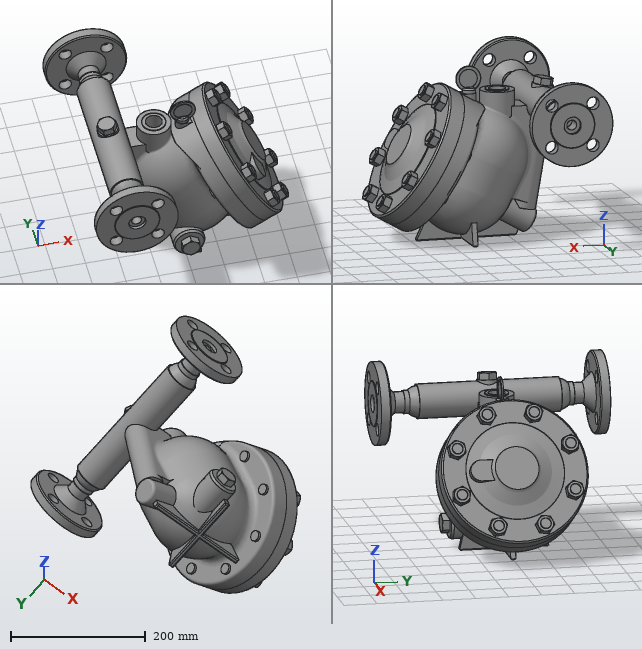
import cadquery as cq
import math

PIPE_HEIGHT = 200.0
FACE_TO_FACE = 350.0

PIPE_RADIUS = 26.0
PIPE_HALF_LENGTH = 108.0
REDUCER_BIG_RADIUS = 24.0
REDUCER_SMALL_RADIUS = 17.5
REDUCER_BULGE = (22.4, 113.6)
REDUCER_END = 121.3
WELD_END = 128.8
NECK_RADIUS = 16.0
NECK_END = 143.3
HUB_RADIUS = 30.5
PIPE_FLANGE_BACK = 158.5
PIPE_FLANGE_RADIUS = 62.5
PIPE_FLANGE_CHAMFER = 2.0
RAISED_FACE_RADIUS = 34.5
RAISED_FACE_HEIGHT = 1.0
PIPE_BOLT_CIRCLE = 90.0
PIPE_BOLT_HOLE = 19.0
PIPE_BOLT_COUNT = 4
PORT_RECESS_DIAMETER = 26.0
PORT_RECESS_DEPTH = 5.0
PORT_DIAMETER = 15.0
PORT_DEPTH = 30.0

RISER_TILT = 9.7
RISER_RADIUS = 20.0
RISER_LENGTH = 160.0
SLEEVE_AXIS = -163.0
SLEEVE_END = -77.0
SLEEVE_LENGTH = 90.0
SLEEVE_ROUND = 4.5
WEB_FILLET = 7.5
WEB_EDGE_X = 30.0

CHAMBER_TILT = 27.0
CHAMBER_RADIUS = 75.0
LOWER_DOME_X = 118.2
LOWER_DOME_DROP = 118.0
DOME_SPACING = 49.5

JOINT_TILT = 30.0
JOINT_AXIS = -154.0
PARTING = 120.0
FLANGE_RADIUS = 111.0
BODY_FLANGE_BACK = 92.0
BODY_FLANGE_ROUND = 5.0
MOUTH_FILLET = 11.0
COVER_FACE = 146.0
COVER_CHAMFER = 2.5
LUG_BACK = 80.0
LUG_HALF_WIDTH_BACK = 26.0
LUG_HALF_WIDTH_FRONT = 75.0
STUD_COUNT = 8
STUD_CIRCLE = 186.0
STUD_DIAMETER = 16.0
STUD_BACK = 88.0
STUD_END = 160.2
NUT_ACROSS_FLATS = 24.0
NUT_END = 158.0
NUT_CHAMFER = (1.0, 1.9)

COVER_DOME = [(74.5, 147.5), (67.0, 149.0), (55.0, 151.5), (37.0, 160.5)]
COVER_CAP_RADIUS = 33.0
COVER_CAP_FACE = 163.5
COVER_ARM_RADIUS = 16.0
COVER_ARM_REACH = 69.5
COVER_ARM_FACE = 160.0

DRAIN_X = 102.2
DRAIN_HEIGHT = 38.1
DRAIN_BOSS_RADIUS = 24.0
DRAIN_BOSS_END = 80.5
DRAIN_CHAMFER_LENGTH = 4.0
DRAIN_CHAMFER_RADIAL = 2.0
PLUG_ACROSS_FLATS = 26.0
DRAIN_PLUG_END = 92.0

TOP_PLUG_SEAT_RADIUS = 16.0
TOP_PLUG_SEAT = 27.5
TOP_PLUG_END = 38.0
PLUG_CHAMFER = (1.0, 2.0)

BOSS_X = 66.0
BOSS_RADIUS = 26.0
BOSS_TOP = 223.5
BOSS_SPIGOT_RADIUS = 18.0
BOSS_SPIGOT_TOP = 225.0
BOSS_BORE_DIAMETER = 25.0
BOSS_BORE_DEPTH = 40.0
BOSS_ROOT = 150.0
BOSS_FILLET = 3.0

KNOB_X = 109.6
PAD_WIDTH = 21.0
PAD_TOP = 220.5
PAD_END_X = 126.0
PAD_ROOT = 185.0
CAP_DIAMETER = 20.0
CAP_TOP = 228.0
CAP_CHAMFER = 2.5
KNOB_HEIGHT = 241.0
KNOB_RADIUS = 19.0
KNOB_THICKNESS = 2.5
KNOB_Y = -3.4
KNOB_DISH_RADIUS = 14.0
KNOB_DISH_DEPTH = 1.0

RIB_THICKNESS = 8.0
RIB_CHAMFER = 2.0
LONG_RIB = [(38.0, 0), (192.5, 0), (177.0, 33.0), (118.0, 80.0), (34.5, 9.0)]
CROSS_RIB_X = 119.0
CROSS_RIB_HALF_WIDTH = 68.0
CROSS_RIB_TOP_HALF_WIDTH = 60.0
CROSS_RIB_HEIGHT = 35.0

TOLERANCE = 0.01


def direction(tilt):
    """Unit vector in the XZ plane, tilted up from +X."""
    angle = math.radians(tilt)
    return cq.Vector(math.cos(angle), 0, math.sin(angle))


PIPE_CENTRE = cq.Vector(0, 0, PIPE_HEIGHT)
JOINT_ALONG = direction(JOINT_TILT)
JOINT_ACROSS = direction(JOINT_TILT + 90)
RISER_DOWN = direction(RISER_TILT - 90)


def tilted_plane(along, across=JOINT_AXIS):
    """Work plane square to the joint axis; its local x is +Y and its local y points up and back."""
    origin = PIPE_CENTRE + JOINT_ALONG * along + JOINT_ACROSS * across
    return cq.Workplane(cq.Plane(origin, (0, 1, 0), JOINT_ALONG))


def joint_disc(radius, start, end):
    return tilted_plane(start).circle(radius).extrude(end - start)


def hexagon_diameter(across_flats):
    return across_flats / math.cos(math.pi / 6)


def bolt_points(circle_diameter, count):
    """Points on a circle, placed half a step off the axes."""
    angles = [math.radians((i + 0.5) * 360 / count) for i in range(count)]
    radius = circle_diameter / 2
    return [(radius * math.cos(a), radius * math.sin(a)) for a in angles]


def hexagon_head(frame, across_flats, length, chamfer_length, chamfer_radial):
    """Hexagon along the frame's normal with its outer corners turned off."""
    corner_diameter = hexagon_diameter(across_flats)
    prism = cq.Workplane(frame).polygon(6, corner_diameter).extrude(length)
    turned = cq.Workplane(frame).circle(corner_diameter / 2).extrude(length)
    outer_end = cq.selectors.DirectionMinMaxSelector(frame.zDir)
    turned = turned.faces(outer_end).edges().chamfer(chamfer_length, chamfer_radial)
    return prism.intersect(turned)


def pipe_end():
    """Reducer, welding neck and flange on the -Y side."""
    face = FACE_TO_FACE / 2
    rim = face - RAISED_FACE_HEIGHT
    axis_frame = cq.Plane(PIPE_CENTRE, (1, 0, 0), (0, 0, -1))
    run = (
        cq.Workplane(axis_frame)
        .moveTo(0, PIPE_HALF_LENGTH)
        .lineTo(REDUCER_BIG_RADIUS, PIPE_HALF_LENGTH)
        .threePointArc(REDUCER_BULGE, (REDUCER_SMALL_RADIUS, REDUCER_END))
        .lineTo(REDUCER_SMALL_RADIUS, WELD_END)
        .lineTo(NECK_RADIUS, WELD_END)
        .lineTo(NECK_RADIUS, NECK_END)
        .lineTo(HUB_RADIUS, PIPE_FLANGE_BACK)
        .lineTo(PIPE_FLANGE_RADIUS - PIPE_FLANGE_CHAMFER, PIPE_FLANGE_BACK)
        .lineTo(PIPE_FLANGE_RADIUS, PIPE_FLANGE_BACK + PIPE_FLANGE_CHAMFER)
        .lineTo(PIPE_FLANGE_RADIUS, rim)
        .lineTo(RAISED_FACE_RADIUS, rim)
        .lineTo(RAISED_FACE_RADIUS - RAISED_FACE_HEIGHT, face)
        .lineTo(0, face)
        .close()
        .revolve(360, (0, 0), (0, 1))
    )
    face_frame = cq.Plane(PIPE_CENTRE + cq.Vector(0, -face, 0), (1, 0, 0), (0, -1, 0))
    face_plane = cq.Workplane(face_frame)
    bolt_holes = (
        face_plane.pushPoints(bolt_points(PIPE_BOLT_CIRCLE, PIPE_BOLT_COUNT))
        .circle(PIPE_BOLT_HOLE / 2)
        .extrude(PIPE_FLANGE_BACK - face)
    )
    recess = face_plane.circle(PORT_RECESS_DIAMETER / 2).extrude(-PORT_RECESS_DEPTH)
    port = face_plane.circle(PORT_DIAMETER / 2).extrude(-PORT_DEPTH)
    return run.cut(bolt_holes).cut(recess).cut(port)


def pipe_run():
    pipe = cq.Workplane("XZ", PIPE_CENTRE.toTuple()).circle(PIPE_RADIUS).extrude(PIPE_HALF_LENGTH, both=True)
    end = pipe_end()
    return pipe.union(end).union(end.mirror("XZ"))


def riser():
    frame = cq.Plane(PIPE_CENTRE, (0, 1, 0), RISER_DOWN)
    return cq.Workplane(frame).circle(RISER_RADIUS).extrude(RISER_LENGTH)


def sleeve():
    tube = tilted_plane(SLEEVE_END, SLEEVE_AXIS).circle(RISER_RADIUS).extrude(SLEEVE_LENGTH)
    near_end = cq.selectors.NearestToPointSelector(
        (PIPE_CENTRE + JOINT_ALONG * SLEEVE_END + JOINT_ACROSS * SLEEVE_AXIS).toTuple()
    )
    return tube.faces(near_end).edges().fillet(SLEEVE_ROUND)


def web():
    """Flat web that fills the space between pipe, riser, sleeve, chamber and boss."""
    foot = PIPE_CENTRE + RISER_DOWN * (RISER_LENGTH - RISER_RADIUS / 2)
    upper_dome, lower_dome = dome_centres()
    outline = [
        (0, PIPE_HEIGHT),
        (BOSS_X, PIPE_HEIGHT),
        (upper_dome.x, upper_dome.z),
        (lower_dome.x, lower_dome.z),
        (foot.x, foot.z),
    ]
    return cq.Workplane("XZ").polyline(outline).close().extrude(RISER_RADIUS, both=True)


def is_web_edge(edge):
    """True where a flat side of the web meets the chamber."""
    centre = edge.Center()
    on_side = abs(abs(centre.y) - RISER_RADIUS) < TOLERANCE
    on_outline = centre.z > BOSS_ROOT or min(edge.startPoint().x, edge.endPoint().x) < WEB_EDGE_X
    return on_side and not on_outline


def dome_centres():
    lower = cq.Vector(LOWER_DOME_X, 0, PIPE_HEIGHT - LOWER_DOME_DROP)
    return lower + direction(CHAMBER_TILT + 90) * DOME_SPACING, lower


def chamber():
    """Two domes joined by a straight stretch."""
    upper, lower = dome_centres()
    across = direction(CHAMBER_TILT + 90)
    domes = [cq.Workplane("XY").sphere(CHAMBER_RADIUS).translate(c) for c in (upper, lower)]
    barrel = (
        cq.Workplane(cq.Plane(lower, (0, 1, 0), across)).circle(CHAMBER_RADIUS).extrude(DOME_SPACING)
    )
    return domes[0].union(domes[1]).union(barrel)


def joint_flange():
    """Body half of the bolted joint, rounded at its back."""
    flange = joint_disc(FLANGE_RADIUS, BODY_FLANGE_BACK, PARTING)
    back = cq.selectors.DirectionMinMaxSelector(-JOINT_ALONG)
    return flange.faces(back).edges().fillet(BODY_FLANGE_ROUND)


def joint_lug():
    """Lug that widens towards the flange along its top."""
    front = BODY_FLANGE_BACK + BODY_FLANGE_ROUND
    frame = cq.Plane(PIPE_CENTRE + JOINT_ACROSS * JOINT_AXIS, (0, 1, 0), JOINT_ACROSS)
    outline = [
        (-LUG_HALF_WIDTH_BACK, -LUG_BACK),
        (LUG_HALF_WIDTH_BACK, -LUG_BACK),
        (LUG_HALF_WIDTH_FRONT, -front),
        (-LUG_HALF_WIDTH_FRONT, -front),
    ]
    wedge = cq.Workplane(frame).polyline(outline).close().extrude(FLANGE_RADIUS)
    return wedge.intersect(joint_disc(FLANGE_RADIUS, LUG_BACK, PARTING))


def is_mouth_edge(edge):
    """True where the chamber meets the flat back of the joint flange."""
    start, middle = (edge.positionAt(t) - PIPE_CENTRE for t in (0, 0.5))
    flat = all(abs(p.dot(JOINT_ALONG) - BODY_FLANGE_BACK) < TOLERANCE for p in (start, middle))
    from_axis = (middle - JOINT_ACROSS * JOINT_AXIS).cross(JOINT_ALONG).Length
    return flat and from_axis < FLANGE_RADIUS - BODY_FLANGE_ROUND - 1


def chamber_with_flange():
    shell = chamber().union(joint_flange())
    mouth = [edge for edge in shell.edges().vals() if is_mouth_edge(edge)]
    shell = shell.newObject(mouth).fillet(MOUTH_FILLET)
    return shell.union(joint_lug())


def drain():
    """Boss on the -Y side with its hexagon plug."""
    frame = cq.Plane((DRAIN_X, 0, DRAIN_HEIGHT), (0, 0, 1), (0, -1, 0))
    boss = (
        cq.Workplane(frame)
        .circle(DRAIN_BOSS_RADIUS)
        .extrude(DRAIN_BOSS_END)
        .faces("<Y")
        .chamfer(DRAIN_CHAMFER_LENGTH, DRAIN_CHAMFER_RADIAL)
    )
    return boss.union(hexagon_head(frame, PLUG_ACROSS_FLATS, DRAIN_PLUG_END, *PLUG_CHAMFER))


def top_plug():
    frame = cq.Plane(PIPE_CENTRE, (1, 0, 0), -RISER_DOWN)
    seat = cq.Workplane(frame).circle(TOP_PLUG_SEAT_RADIUS).extrude(TOP_PLUG_SEAT)
    return seat.union(hexagon_head(frame, PLUG_ACROSS_FLATS, TOP_PLUG_END, *PLUG_CHAMFER))


def upright_boss():
    def post(radius, top):
        return cq.Workplane("XY", (BOSS_X, 0, BOSS_ROOT)).circle(radius).extrude(top - BOSS_ROOT)

    return post(BOSS_RADIUS, BOSS_TOP).union(post(BOSS_SPIGOT_RADIUS, BOSS_SPIGOT_TOP))


def is_boss_edge(edge):
    """True where the upright boss leaves the chamber."""
    middle = edge.positionAt(0.5)
    from_axis = math.hypot(middle.x - BOSS_X, middle.y)
    on_wall = abs(from_axis - BOSS_RADIUS) < TOLERANCE
    return on_wall and middle.z < BOSS_TOP - 1 and edge.geomType() != "LINE"


def boss_on_dome():
    """The upright boss with a fillet where it leaves the upper dome."""
    upper_dome = dome_centres()[0]
    dome = cq.Workplane("XY").sphere(CHAMBER_RADIUS).translate(upper_dome).union(upright_boss())
    root = [edge for edge in dome.edges().vals() if is_boss_edge(edge)]
    return dome.newObject(root).fillet(BOSS_FILLET)


def boss_bore():
    return (
        cq.Workplane("XY", (BOSS_X, 0, BOSS_SPIGOT_TOP))
        .circle(BOSS_BORE_DIAMETER / 2)
        .extrude(-BOSS_BORE_DEPTH)
    )


def knob():
    """Dished thumb disc on a round cap, standing on a pad at the top of the joint flange."""
    foot = cq.Workplane("XY", (KNOB_X, 0, PAD_ROOT))
    pad_height = PAD_TOP - PAD_ROOT
    pad_length = PAD_END_X - KNOB_X
    pad = foot.circle(PAD_WIDTH / 2).extrude(pad_height)
    pad = pad.union(foot.center(pad_length / 2, 0).rect(pad_length, PAD_WIDTH).extrude(pad_height))
    foot = cq.Workplane("XY", (KNOB_X, 0, PAD_ROOT))
    cap = foot.circle(CAP_DIAMETER / 2).extrude(CAP_TOP - PAD_ROOT).faces(">Z").chamfer(CAP_CHAMFER)
    front = KNOB_Y - KNOB_THICKNESS / 2
    disc_plane = cq.Workplane("XZ", (KNOB_X, front, KNOB_HEIGHT))
    disc = disc_plane.circle(KNOB_RADIUS).extrude(-KNOB_THICKNESS)
    dish = disc_plane.circle(KNOB_DISH_RADIUS).extrude(-KNOB_DISH_DEPTH)
    return pad.union(disc.cut(dish)).union(cap)


def base_ribs():
    """Two upright plates that cross under the chamber."""
    long_rib = cq.Workplane("XZ").polyline(LONG_RIB).close().extrude(RIB_THICKNESS / 2, both=True)
    cross_outline = [
        (-CROSS_RIB_HALF_WIDTH, 0),
        (CROSS_RIB_HALF_WIDTH, 0),
        (CROSS_RIB_TOP_HALF_WIDTH, CROSS_RIB_HEIGHT),
        (-CROSS_RIB_TOP_HALF_WIDTH, CROSS_RIB_HEIGHT),
    ]
    cross_rib = (
        cq.Workplane("YZ", (CROSS_RIB_X, 0, 0))
        .polyline(cross_outline)
        .close()
        .extrude(RIB_THICKNESS / 2, both=True)
    )
    return long_rib.union(cross_rib).faces("<Z").edges().chamfer(RIB_CHAMFER)


def studs():
    """Studs that pass through the cover and the joint flange of the housing."""
    return (
        tilted_plane(STUD_BACK)
        .pushPoints(bolt_points(STUD_CIRCLE, STUD_COUNT))
        .circle(STUD_DIAMETER / 2)
        .extrude(STUD_END - STUD_BACK)
    )


def nuts():
    """One nut per stud, each turned with its place around the joint axis."""
    nut = hexagon_head(
        tilted_plane(COVER_FACE).plane, NUT_ACROSS_FLATS, NUT_END - COVER_FACE, *NUT_CHAMFER
    )
    first = nut.translate(cq.Vector(0, STUD_CIRCLE / 2, 0))
    axis_start = PIPE_CENTRE + JOINT_ACROSS * JOINT_AXIS
    axis_end = axis_start + JOINT_ALONG
    step = 360 / STUD_COUNT
    return [
        first.rotate(axis_start.toTuple(), axis_end.toTuple(), (i + 0.5) * step)
        for i in range(STUD_COUNT)
    ]


def cover_centre():
    """Stepped dome with a round cap and an arm that runs towards -Y."""
    profile = [(0, PARTING), (COVER_DOME[0][0], PARTING), *COVER_DOME]
    profile += [(COVER_CAP_RADIUS, COVER_CAP_FACE), (0, COVER_CAP_FACE)]
    frame = cq.Plane(PIPE_CENTRE + JOINT_ACROSS * JOINT_AXIS, (0, 1, 0), -JOINT_ACROSS)
    dome = cq.Workplane(frame).polyline(profile).close().revolve(360, (0, 0), (0, 1))
    reach = COVER_ARM_REACH - COVER_ARM_RADIUS
    arm = (
        tilted_plane(PARTING)
        .center(-reach / 2, 0)
        .slot2D(reach + 2 * COVER_ARM_RADIUS, 2 * COVER_ARM_RADIUS)
        .extrude(COVER_ARM_FACE - PARTING)
    )
    return dome.union(arm)


def cover_body():
    """Cover plate with its raised centre, studs and nuts."""
    plate = joint_disc(FLANGE_RADIUS, PARTING, COVER_FACE)
    outer_face = cq.selectors.DirectionMinMaxSelector(JOINT_ALONG)
    plate = plate.faces(outer_face).edges().chamfer(COVER_CHAMFER)
    body = plate.union(cover_centre()).union(studs())
    for nut in nuts():
        body = body.union(nut)
    return body


def housing_body():
    """Float chamber with its flange, pipework, bosses and base; bored for the cover's studs."""
    body = chamber_with_flange().union(web())
    web_edges = [edge for edge in body.edges().vals() if is_web_edge(edge)]
    body = body.newObject(web_edges).fillet(WEB_FILLET)
    for feature in (boss_on_dome(), riser(), sleeve(), knob(), base_ribs(), drain()):
        body = body.union(feature)
    body = body.union(pipe_run()).union(top_plug())
    return body.cut(boss_bore()).cut(studs())


housing = housing_body()
cover = cover_body()
result = cq.Compound.makeCompound([*housing.vals(), *cover.vals()])